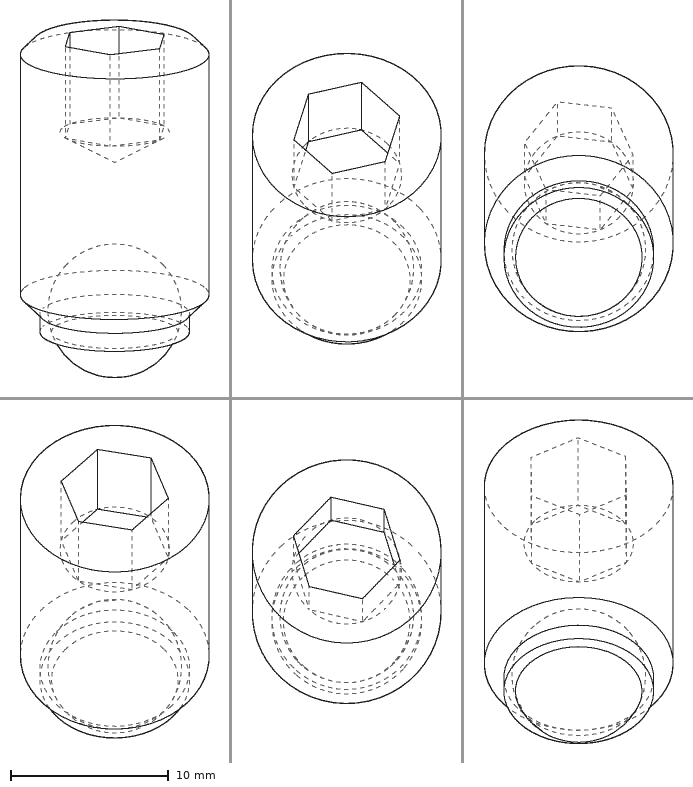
import cadquery as cq
import math

total_length = 22.0
body_diameter = 12.0
body_radius = body_diameter / 2

top_chamfer = 0.9
top_edge_fillet = 0.2
neck_radius = 4.75
neck_height = 1.19
lower_chamfer = body_radius - neck_radius

hex_across_flats = 6.0
hex_depth = 6.0
hex_corner_radius = hex_across_flats / math.sqrt(3)
cone_slope_angle = 30
cone_depth = hex_corner_radius * math.tan(math.radians(cone_slope_angle))

ball_radius = 4.25
ball_protrusion = 2.85

sleeve_bottom = ball_protrusion
ball_center_height = ball_radius


def make_ball():
    return cq.Workplane("XY").sphere(ball_radius).translate((0, 0, ball_center_height))


def make_sleeve_blank():
    shoulder_bottom = sleeve_bottom + neck_height
    profile = [
        (0, sleeve_bottom),
        (neck_radius, sleeve_bottom),
        (neck_radius, shoulder_bottom),
        (body_radius, shoulder_bottom + lower_chamfer),
        (body_radius, total_length - top_chamfer),
        (body_radius - top_chamfer, total_length),
        (0, total_length),
    ]
    blank = cq.Workplane("XZ").polyline(profile).close().revolve(360, (0, 0), (0, 1))
    return blank.faces(">Z").edges().fillet(top_edge_fillet)


def make_socket():
    floor_height = total_length - hex_depth
    hexagon = (
        cq.Workplane("XY")
        .workplane(offset=floor_height)
        .polygon(6, 2 * hex_corner_radius)
        .extrude(hex_depth)
    )
    cone = (
        cq.Workplane("XZ")
        .polyline([(0, floor_height), (hex_corner_radius, floor_height), (0, floor_height - cone_depth)])
        .close()
        .revolve(360, (0, 0), (0, 1))
    )
    return hexagon, cone


ball = make_ball()
hexagon, cone = make_socket()
sleeve = make_sleeve_blank().cut(hexagon).cut(cone).cut(ball)

result = cq.Compound.makeCompound([sleeve.val(), ball.val()])